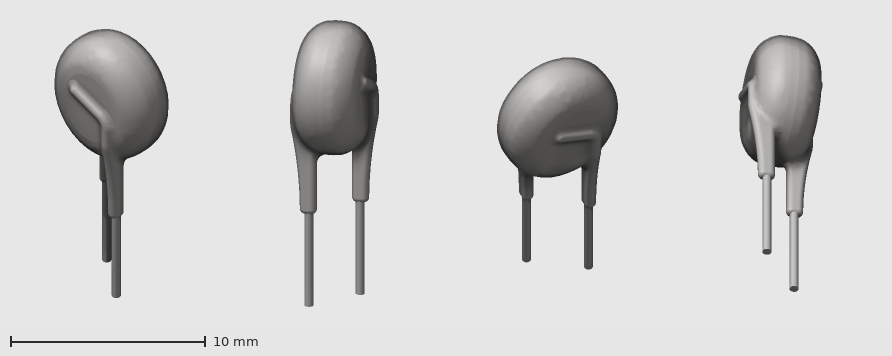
import cadquery as cq
import math

body_width = 6.5
body_height = 6.98
body_thickness = 3.42
body_round = 1.5

total_height = 15.0
wire_diameter = 0.46
wire_x = 1.25
wire_y = 1.02
wire_embedding = 0.75

overall_depth = 4.0
coat_width = 0.62
coat_inner_y = 0.6
coat_bottom_y = 1.48
coat_bottom_z = -6.5
coat_bottom_round = 0.22
blend_radius = 0.45
contact_tolerance = 0.0002

ridge_bottom_z = -1.65
ridge_shoulder_radius = 1.2
ridge_tip_x = -0.9
ridge_tip_z = 0.72
ridge_slope = 24.0
ridge_bend_radius = 0.75

wire_bottom_z = body_height / 2 - total_height
coat_radius = coat_width / 2

inner_axis_y = coat_inner_y + coat_radius
bottom_axis_y = coat_bottom_y - coat_radius
ridge_axis_y = overall_depth / 2 - coat_radius

flare_height = ridge_bottom_z - coat_bottom_z
flare_depth = ridge_axis_y - bottom_axis_y
flare_turn = 2 * math.atan(flare_depth / flare_height)
flare_radius = flare_height / math.sin(flare_turn) - ridge_shoulder_radius

slope = math.radians(ridge_slope)
bend_turn = math.pi / 2 - slope
corner_z = ridge_tip_z - (wire_x - ridge_tip_x) * math.tan(slope)
bend_start_z = corner_z - ridge_bend_radius * math.tan(bend_turn / 2)


def make_body():
    disc = (
        cq.Workplane("XZ", origin=(0, body_thickness / 2, 0))
        .ellipse(body_width / 2, body_height / 2)
        .extrude(body_thickness)
    )
    return disc.faces("|Y").edges().fillet(body_round)


def make_wire():
    length = coat_bottom_z + wire_embedding - wire_bottom_z
    return (
        cq.Workplane("XY", origin=(wire_x, -wire_y, wire_bottom_z))
        .circle(wire_diameter / 2)
        .extrude(length)
    )


def coat_circle(axis_y, z):
    return cq.Workplane("XY", origin=(wire_x, -axis_y, z)).circle(coat_radius)


def flare_line():
    """Centre line of the outer side, from the bottom of the coating up to the ridge."""

    def on_flare(angle):
        return (
            -bottom_axis_y - flare_radius * (1 - math.cos(angle)),
            coat_bottom_z + flare_radius * math.sin(angle),
        )

    def on_shoulder(angle):
        return (
            -ridge_axis_y + ridge_shoulder_radius * (1 - math.cos(angle)),
            ridge_bottom_z - ridge_shoulder_radius * math.sin(angle),
        )

    return (
        cq.Workplane("YZ", origin=(wire_x, 0, 0))
        .moveTo(*on_flare(0))
        .threePointArc(on_flare(flare_turn / 2), on_flare(flare_turn))
        .threePointArc(on_shoulder(flare_turn / 2), on_shoulder(0))
    )


def ridge_line():
    """Centre line of the ridge, from the top of the flare to the tip."""

    def on_bend(angle):
        return (
            wire_x - ridge_bend_radius * (1 - math.cos(angle)),
            bend_start_z + ridge_bend_radius * math.sin(angle),
        )

    return (
        cq.Workplane("XZ", origin=(0, -ridge_axis_y, 0))
        .moveTo(wire_x, ridge_bottom_z)
        .lineTo(*on_bend(0))
        .threePointArc(on_bend(bend_turn / 2), on_bend(bend_turn))
        .lineTo(ridge_tip_x, ridge_tip_z)
    )


def make_coat():
    outer_side = coat_circle(bottom_axis_y, coat_bottom_z).sweep(flare_line())
    inner_side = coat_circle(inner_axis_y, coat_bottom_z).extrude(bend_start_z - coat_bottom_z)
    web = (
        flare_line()
        .lineTo(-ridge_axis_y, bend_start_z)
        .lineTo(-inner_axis_y, bend_start_z)
        .lineTo(-inner_axis_y, coat_bottom_z)
        .close()
        .extrude(coat_radius, both=True)
    )
    ridge = coat_circle(ridge_axis_y, ridge_bottom_z).sweep(ridge_line())
    tip = cq.Workplane("XY", origin=(ridge_tip_x, -ridge_axis_y, ridge_tip_z)).sphere(coat_radius)
    coat = web.union(inner_side).union(outer_side).union(ridge).union(tip).clean()
    return coat.faces("<Z").edges().fillet(coat_bottom_round)


def with_opposite(lead):
    """The lead together with its copy turned half a turn about Z."""
    return lead.union(lead.rotate((0, 0, 0), (0, 0, 1), 180))


def join_blended(body, coats):
    """Join the coats to the body and round the concave edges where they meet."""

    def touches(part, edge):
        middle = cq.Vertex.makeVertex(*edge.positionAt(0.5).toTuple())
        return any(face.distance(middle) < contact_tolerance for face in part.faces().vals())

    joined = body.union(coats)
    meeting = [
        edge
        for edge in joined.edges().vals()
        if touches(body, edge) and touches(coats, edge)
    ]
    return joined.newObject(meeting).fillet(blend_radius)


coated_body = join_blended(make_body(), with_opposite(make_coat()))
result = coated_body.union(with_opposite(make_wire()))